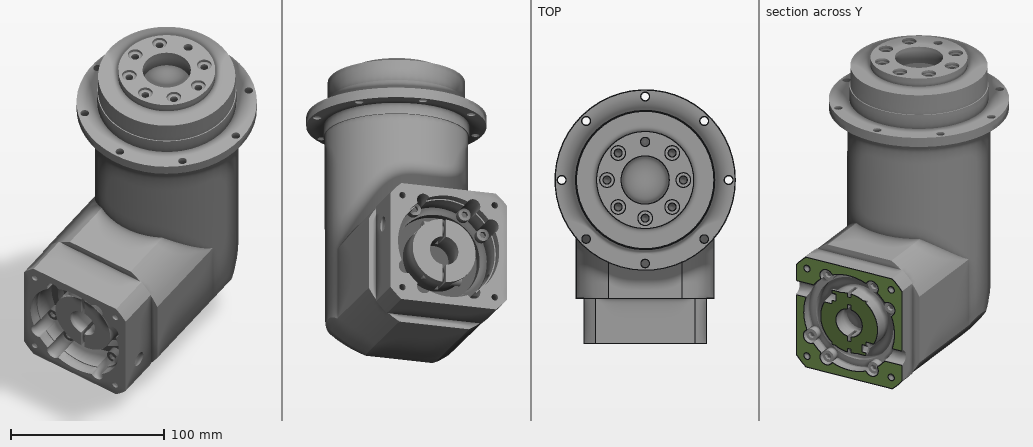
import cadquery as cq
import math


drill_point_angle = 118

total_height = 199.5
block_side = 90.2
block_half = block_side / 2
output_top = total_height - block_half
plate_height = 5.8
collar_bottom = output_top - 20.0
flange_top = output_top - 30.0
flange_thickness = 6.5
flange_bottom = flange_top - flange_thickness
shoulder_bottom = flange_bottom - 7.4

plate_diameter = 63.5
pilot_diameter = 89.8
collar_diameter = 91.0
flange_diameter = 118.0
shoulder_diameter = 95.4
body_diameter = 93.8

flange_hole_count = 8
flange_hole_circle = 109.1
flange_hole_diameter = 5.5

output_bore_diameter = 31.5
output_bore_depth = 11.8
output_hole_circle = 49.9
output_hole_count = 8
tapped_hole_diameter = 5.2
tapped_hole_depth = 12.0
counterbore_diameter = 9.5
counterbore_depth = 2.0
pin_hole_diameter = 6.0
pin_hole_depth = 8.0

housing_front = -77.5
block_corner_radius = 51.0
elbow_cut_height = 41.9
elbow_fillet = 12.0

adapter_side = 80.2
adapter_corner_radius = 51.7
adapter_length = 29.5
adapter_front = housing_front - adapter_length
lip_diameter = 69.8
lip_depth = 7.0
recess_diameter = 68.2
adapter_floor_thickness = 6.4
adapter_opening_diameter = 58.5
motor_hole_circle = 90.0
motor_hole_diameter = 4.4
motor_hole_depth = 16.0
screw_circle = 68.6
screw_angles = [30, 60, 120, 210, 240, 300]
screw_pocket_diameter = 9.4
screw_head_diameter = 8.4
screw_head_height = 5.0
screw_socket_width = 4.0
screw_socket_depth = 2.4

hub_diameter = 43.3
hub_setback = 9.2
hub_length = adapter_length - hub_setback
hub_bore_diameter = 19.5
slit_width = 2.4
slit_depth = 16.0
clamp_screw_offset = 16.0
clamp_screw_setback = 15.5
clamp_screw_y = adapter_front + clamp_screw_setback
clamp_screw_length = 26.0
clamp_shank_diameter = 6.0
clamp_head_diameter = 10.0
clamp_head_height = 6.0
clamp_socket_width = 5.0
clamp_socket_depth = 3.0
access_hole_diameter = 10.0


def vertical_cylinder(diameter, bottom, top):
    return cq.Workplane("XY", origin=(0, 0, bottom)).circle(diameter / 2).extrude(top - bottom)


def input_plane(y):
    """Plane across the input axis; positive extrusions go toward -Y, negative ones toward +Y."""
    return cq.Workplane("XZ", origin=(0, y, 0))


def rounded_square(side, corner_radius, y, length):
    """Square prism along the input axis, its corners turned to a circle about that axis."""
    square = input_plane(y).rect(side, side).extrude(length)
    return square.intersect(input_plane(y).circle(corner_radius).extrude(length))


def angle_points(radius, angles):
    return [(radius * math.cos(math.radians(a)), radius * math.sin(math.radians(a))) for a in angles]


def drill(body, plane, points, diameter, depth):
    """Blind holes with a conical bottom at the given points of a plane facing out of the body."""
    radius = diameter / 2
    tip = radius / math.tan(math.radians(drill_point_angle / 2))
    profile = [(0, 0), (radius, 0), (radius, -depth), (0, -depth - tip)]
    tool = cq.Workplane("XZ").polyline(profile).close().revolve(360, (0, 0, 0), (0, 1, 0)).val()
    for x, y in points:
        location = cq.Location(plane.plane) * cq.Location(cq.Vector(x, y, 0))
        body = body.cut(cq.Workplane(tool.moved(location)))
    return body


def make_elbow():
    """Lower body and input block, with a rounded 45 degree cut across the outer corner."""
    elbow = vertical_cylinder(body_diameter, -block_half, shoulder_bottom)
    elbow = elbow.union(rounded_square(block_side, block_corner_radius, 0, -housing_front))
    below_axis = input_plane(body_diameter).rect(2 * body_diameter, 2 * body_diameter).extrude(2 * body_diameter)
    below_axis = below_axis.translate((0, 0, -body_diameter))
    inside_circle = input_plane(body_diameter).circle(block_corner_radius).extrude(2 * body_diameter)
    elbow = elbow.cut(below_axis.cut(inside_circle))
    slope = cq.Plane(origin=(0, elbow_cut_height, 0), xDir=(1, 0, 0), normal=(0, 1, -1))
    beyond_slope = cq.Workplane(slope).rect(2 * total_height, 2 * total_height).extrude(total_height)
    sloped_face = cq.selectors.DirectionMinMaxSelector(slope.zDir)
    return elbow.cut(beyond_slope).faces(sloped_face).edges().fillet(elbow_fillet)


def cut_output_holes(housing):
    top = cq.Workplane("XY", origin=(0, 0, output_top))
    pin_angle = 90
    step = 360 / output_hole_count
    threaded = angle_points(output_hole_circle / 2, [pin_angle + i * step for i in range(1, output_hole_count)])
    pin = angle_points(output_hole_circle / 2, [pin_angle])
    housing = housing.cut(top.circle(output_bore_diameter / 2).extrude(-output_bore_depth))
    housing = drill(housing, top, threaded, tapped_hole_diameter, tapped_hole_depth)
    housing = housing.cut(top.pushPoints(threaded).circle(counterbore_diameter / 2).extrude(-counterbore_depth))
    return housing.cut(top.pushPoints(pin).circle(pin_hole_diameter / 2).extrude(-pin_hole_depth))


def make_housing():
    housing = make_elbow()
    housing = housing.union(vertical_cylinder(shoulder_diameter, shoulder_bottom, flange_bottom))
    flange = vertical_cylinder(flange_diameter, flange_bottom, flange_top)
    flange = (
        flange.faces(">Z").workplane()
        .polarArray(flange_hole_circle / 2, 0, 360, flange_hole_count)
        .hole(flange_hole_diameter)
    )
    plate_bottom = output_top - plate_height
    housing = housing.union(flange)
    housing = housing.union(vertical_cylinder(collar_diameter, flange_top, collar_bottom))
    housing = housing.union(vertical_cylinder(pilot_diameter, collar_bottom, plate_bottom))
    housing = housing.union(vertical_cylinder(plate_diameter, plate_bottom, output_top))
    return cut_output_holes(housing)


def hexagon_diameter(width_across_flats):
    return width_across_flats / math.cos(math.radians(30))


def clamp_screw_plane(side, x):
    """Plane across a clamp screw; the screw heads are above the axis at -X and below it at +X."""
    return cq.Workplane("YZ", origin=(side * x, clamp_screw_y, -side * clamp_screw_offset))


def make_adapter():
    adapter = rounded_square(adapter_side, adapter_corner_radius, housing_front, adapter_length)
    front = input_plane(adapter_front)
    recess_depth = adapter_length - adapter_floor_thickness
    screws = angle_points(screw_circle / 2, screw_angles)
    motor_holes = angle_points(motor_hole_circle / 2, [45, 135, 225, 315])
    adapter = adapter.cut(front.circle(adapter_opening_diameter / 2).extrude(-adapter_length))
    adapter = adapter.cut(front.circle(recess_diameter / 2).extrude(-recess_depth))
    adapter = adapter.cut(front.circle(lip_diameter / 2).extrude(-lip_depth))
    adapter = adapter.cut(front.pushPoints(screws).circle(screw_pocket_diameter / 2).extrude(-recess_depth))
    adapter = drill(adapter, front, motor_holes, motor_hole_diameter, motor_hole_depth)
    for side in (-1, 1):
        access = (
            clamp_screw_plane(side, hub_diameter / 2)
            .circle(access_hole_diameter / 2).extrude(side * adapter_side / 2)
        )
        adapter = adapter.cut(access)
    floor = input_plane(adapter_front + recess_depth)
    heads = floor.pushPoints(screws).circle(screw_head_diameter / 2).extrude(screw_head_height)
    sockets = (
        input_plane(adapter_front + recess_depth - screw_head_height).pushPoints(screws)
        .polygon(6, hexagon_diameter(screw_socket_width)).extrude(-screw_socket_depth)
    )
    return adapter.union(heads.cut(sockets))


def make_clamp_screw(side):
    """Clamp screw across the slit with its head on the given side of the hub."""
    outer_end = clamp_screw_plane(side, clamp_screw_length / 2)
    screw = outer_end.circle(clamp_shank_diameter / 2).extrude(-side * clamp_screw_length)
    screw = screw.union(outer_end.circle(clamp_head_diameter / 2).extrude(-side * clamp_head_height))
    socket = outer_end.polygon(6, hexagon_diameter(clamp_socket_width)).extrude(-side * clamp_socket_depth)
    return screw.cut(socket)


def make_hub():
    hub = input_plane(housing_front).circle(hub_diameter / 2).extrude(hub_length)
    front = input_plane(housing_front - hub_length)
    hub = hub.cut(front.rect(slit_width, hub_diameter).extrude(-slit_depth))
    for side in (-1, 1):
        head_bottom = clamp_screw_plane(side, clamp_screw_length / 2 - clamp_head_height)
        hub = hub.cut(head_bottom.circle(clamp_head_diameter / 2).extrude(side * hub_diameter))
        hub = hub.union(make_clamp_screw(side))
    return hub.cut(front.circle(hub_bore_diameter / 2).extrude(-hub_length))


housing = make_housing()
adapter = make_adapter()
hub = make_hub()

result = cq.Compound.makeCompound([housing.val(), adapter.val(), hub.val()])